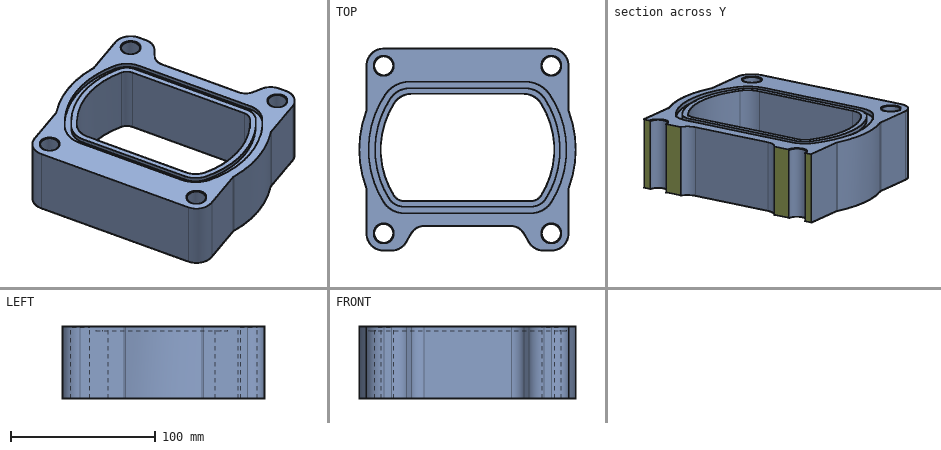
import cadquery as cq
import math

height = 50.0
flange_half = 70.0
corner_radius = 12.0
bulge_radius = 75.0
bulge_joint_fillet = 3.0

notch_floor_y = -53.0
notch_floor_half = 36.0
flank_angle = 60.0
notch_floor_radius = 10.0
lug_radius = corner_radius

hole_diameter = 13.0
hole_offset = flange_half - corner_radius
hole_chamfer = 0.5
chamfer_angle = 45.0

opening_radius = 60.0
opening_back_y = 38.5
opening_front_y = -35.5
opening_back_fillet = 14.0
opening_front_fillet = 8.0

rim_width = 4.0
groove_width = 4.5
groove_depth = 3.0
rim_back_fillet = 16.0
rim_front_fillet = opening_front_fillet + rim_width


def make_body():
    """Rounded square flange joined with a round barrel bulging out at -X and +X."""
    side = 2 * flange_half
    flange = cq.Workplane("XY").rect(side, side).extrude(height)
    flange = flange.edges("|Z").fillet(corner_radius)

    bulge_chord = 2 * math.sqrt(bulge_radius**2 - flange_half**2)
    band = cq.Workplane("XY").rect(2 * bulge_radius, bulge_chord).extrude(height)
    barrel = cq.Workplane("XY").circle(bulge_radius).extrude(height)
    body = flange.union(barrel.intersect(band))

    for x in (-flange_half, flange_half):
        for y in (-bulge_chord / 2, bulge_chord / 2):
            joint = cq.selectors.NearestToPointSelector((x, y, height / 2))
            body = body.edges("|Z").edges(joint).fillet(bulge_joint_fillet)
    return body


def notch_cutter():
    """Trapezoid with rounded floor corners, flaring into the rounded lug tips."""
    angle = math.radians(flank_angle)
    tip_y = -flange_half
    notch_depth = notch_floor_y - tip_y
    mouth_half = notch_floor_half + notch_depth / math.tan(angle)

    floor_setback = notch_floor_radius * math.tan(angle / 2)
    lug_setback = lug_radius * math.tan(angle / 2)
    floor_centre = (notch_floor_half - floor_setback, notch_floor_y - notch_floor_radius)
    lug_centre = (mouth_half + lug_setback, tip_y + lug_radius)

    def on_floor_arc(turn):
        x = floor_centre[0] + notch_floor_radius * math.sin(turn)
        y = floor_centre[1] + notch_floor_radius * math.cos(turn)
        return x, y

    def on_lug_arc(turn):
        x = lug_centre[0] - lug_radius * math.sin(turn)
        y = lug_centre[1] - lug_radius * math.cos(turn)
        return x, y

    half = (
        cq.Workplane("XY")
        .moveTo(0, notch_floor_y)
        .lineTo(*on_floor_arc(0))
        .threePointArc(on_floor_arc(angle / 2), on_floor_arc(angle))
        .lineTo(*on_lug_arc(angle))
        .threePointArc(on_lug_arc(angle / 2), on_lug_arc(0))
        .lineTo(0, tip_y)
        .close()
        .extrude(height)
    )
    return half.union(half.mirror("YZ"))


def opening_prism(offset, back_fillet, front_fillet, depth):
    """Prism of the opening outline grown outward by offset, reaching depth below the top face."""
    back_y = opening_back_y + offset
    front_y = opening_front_y - offset
    radius = opening_radius + offset
    base = cq.Workplane("XY").workplane(offset=height - depth)
    prism = base.circle(radius).extrude(depth)
    band = base.center(0, (back_y + front_y) / 2).rect(2 * radius, back_y - front_y).extrude(depth)
    prism = prism.intersect(band)
    prism = prism.edges("|Z and >Y").fillet(back_fillet)
    return prism.edges("|Z and <Y").fillet(front_fillet)


def groove_cutter():
    """Ring of constant width around the rim of the opening."""
    inner = opening_prism(rim_width, rim_back_fillet, rim_front_fillet, groove_depth)
    outer = opening_prism(
        rim_width + groove_width,
        rim_back_fillet + groove_width,
        rim_front_fillet + groove_width,
        groove_depth,
    )
    return outer.cut(inner)


def bolt_hole_cutter():
    """Four through holes on a square pattern, chamfered at the top face."""

    def hole_circles(z):
        spacing = 2 * hole_offset
        pattern = cq.Workplane("XY").workplane(offset=z).rect(spacing, spacing, forConstruction=True)
        return pattern.vertices().circle(hole_diameter / 2)

    bores = hole_circles(0).extrude(height)
    chamfers = hole_circles(height - hole_chamfer).extrude(hole_chamfer, taper=-chamfer_angle)
    return bores.union(chamfers)


result = (
    make_body()
    .cut(notch_cutter())
    .cut(opening_prism(0, opening_back_fillet, opening_front_fillet, height))
    .cut(groove_cutter())
    .cut(bolt_hole_cutter())
)